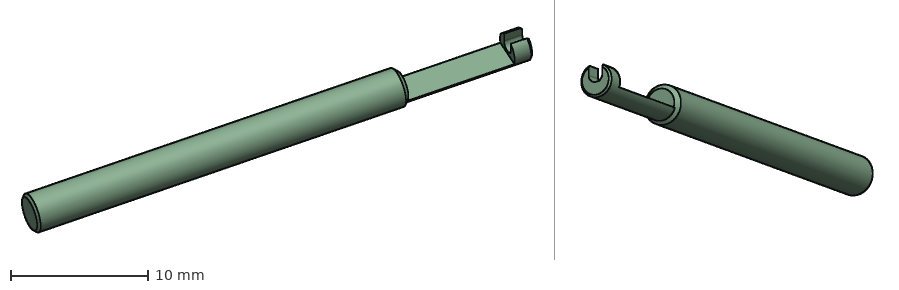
import cadquery as cq

total_length = 40.0
shank_diameter = 3.0
shank_length = 30.0
shank_end_chamfer = 0.2
shoulder_chamfer = 0.35
head_diameter = 2.5
head_length = 1.5
head_tip_chamfer = 0.15
neck_top_z = -0.4
bore_diameter = 1.1
slot_floor_z = -0.15

back_y = -total_length / 2
shoulder_y = back_y + shank_length
tip_y = back_y + total_length
neck_length = total_length - shank_length - head_length
bore_center_z = slot_floor_z + bore_diameter / 2


def rod(diameter, start_y, length):
    """Round bar on the Y axis, running towards +Y from start_y."""
    plane = cq.Workplane("XZ", origin=(0, start_y, 0))
    return plane.circle(diameter / 2).extrude(-length)


def make_shank():
    shank = rod(shank_diameter, back_y, shank_length)
    shank = shank.faces("<Y").chamfer(shank_end_chamfer)
    return shank.faces(">Y").chamfer(shoulder_chamfer)


def make_neck_and_head():
    bar = rod(head_diameter, shoulder_y, neck_length + head_length)
    bar = bar.faces(">Y").chamfer(head_tip_chamfer)
    above_neck = cq.Workplane("XY").box(
        head_diameter, neck_length, head_diameter, centered=(True, False, False)
    ).translate((0, shoulder_y, neck_top_z))
    return bar.cut(above_neck)


def make_head_slot():
    """U-shaped passage along the head: a bore that opens upwards."""
    start_y = tip_y - head_length
    bore = rod(bore_diameter, start_y, head_length).translate((0, 0, bore_center_z))
    opening = cq.Workplane("XY").box(
        bore_diameter, head_length, head_diameter, centered=(True, False, False)
    ).translate((0, start_y, bore_center_z))
    return bore.union(opening)


result = make_shank().union(make_neck_and_head()).cut(make_head_slot())